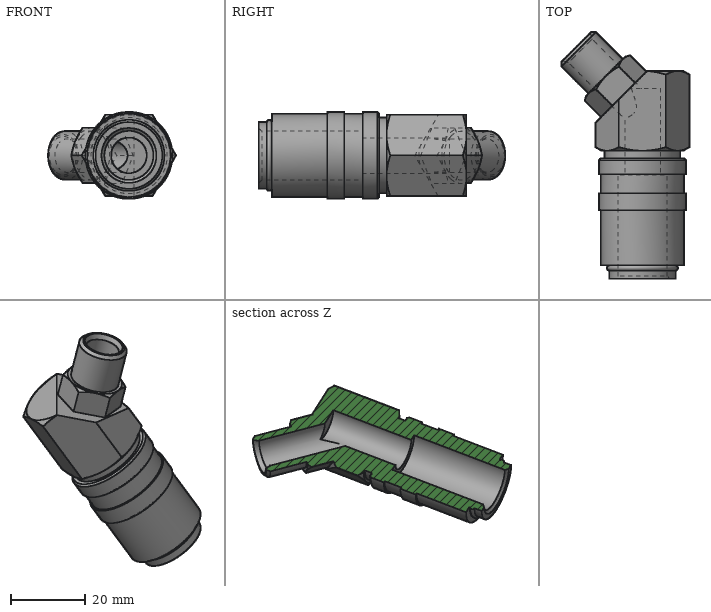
import cadquery as cq
import math


rim_diameter = 18.0
bead_diameter = 19.2
bead_thickness = 1.4
sleeve_diameter = 22.5
ring_diameter = 23.5
neck_diameter = 20.5
sleeve_front = 3.6
front_ring_start = 18.5
front_ring_end = 23.1
rear_ring_start = 28.1
rear_ring_end = 32.5
ring_chamfer = 0.5

socket_diameter = 13.2
socket_depth = 28.0
mouth_chamfer = 0.8
passage_diameter = 9.6
passage_end = 51.4

body_across_flats = 22.0
body_start = 34.5
body_end = 56.0

nipple_origin_y = 44.68
nipple_angle = 45.0
body_face_offset = 7.1
nipple_hex_across_flats = 15.0
nipple_hex_end = 14.0
thread_diameter = 13.16
thread_chamfer = 0.88
nipple_length = 25.16
nipple_bore_diameter = 9.0
nipple_mouth_diameter = 10.4
nipple_mouth_depth = 1.4

hex_sides = 6
hex_chamfer_angle = 30.0

coupling_plane = cq.Plane(origin=(0, 0, 0), xDir=(1, 0, 0), normal=(0, 1, 0))
nipple_direction = (-math.sin(math.radians(nipple_angle)), math.cos(math.radians(nipple_angle)), 0)
nipple_plane = cq.Plane(
    origin=(0, nipple_origin_y, 0),
    xDir=(nipple_direction[1], -nipple_direction[0], 0),
    normal=nipple_direction,
)


def cylinder(plane, diameter, start, end):
    """Cylinder on the plane's axis, between two distances along it."""
    return cq.Workplane(plane).workplane(offset=start).circle(diameter / 2).extrude(end - start)


def cone(plane, start_diameter, end_diameter, start, end):
    """Cone frustum on the plane's axis, between two distances along it."""
    return (
        cq.Workplane(plane)
        .workplane(offset=start)
        .circle(start_diameter / 2)
        .workplane(offset=end - start)
        .circle(end_diameter / 2)
        .loft(ruled=True)
    )


def hexagon(plane, across_flats, start, end, chamfer_start):
    """Hexagonal prism with conical corner chamfers at its end and, if asked, at its start."""
    across_corners = across_flats / math.cos(math.pi / hex_sides)
    drop = (across_corners - across_flats) / 2 * math.tan(math.radians(hex_chamfer_angle))
    blank = cq.Workplane(plane).workplane(offset=start).polygon(hex_sides, across_corners)
    prism = blank.extrude(end - start)
    envelope = cone(plane, across_corners, across_flats, end - drop, end)
    if chamfer_start:
        envelope = envelope.union(cone(plane, across_flats, across_corners, start, start + drop))
        envelope = envelope.union(cylinder(plane, across_corners, start + drop, end - drop))
    else:
        envelope = envelope.union(cylinder(plane, across_corners, start, end - drop))
    return prism.intersect(envelope)


def coupling_sleeve():
    """Stepped sleeve with two raised rings and a neck that reaches the body hexagon."""
    sleeve = cylinder(coupling_plane, rim_diameter, 0, sleeve_front)
    sleeve = sleeve.union(cylinder(coupling_plane, sleeve_diameter, sleeve_front, rear_ring_start))
    sleeve = sleeve.union(cylinder(coupling_plane, ring_diameter, front_ring_start, front_ring_end))
    rear_ring = cylinder(coupling_plane, ring_diameter, rear_ring_start, rear_ring_end)
    sleeve = sleeve.union(rear_ring.faces(">Y").edges().chamfer(ring_chamfer))
    return sleeve.union(cylinder(coupling_plane, neck_diameter, rear_ring_end, body_start))


def retaining_bead():
    """Round bead on the rim, against the front of the sleeve."""
    bead_radius = bead_thickness / 2
    centre_x = bead_diameter / 2 - bead_radius
    centre_y = sleeve_front - bead_radius
    return (
        cq.Workplane("XY")
        .center(centre_x, centre_y)
        .circle(bead_radius)
        .revolve(360, (-centre_x, 0, 0), (-centre_x, 1, 0))
    )


def body():
    """Hexagonal body with its corner cut square to the nipple."""
    block = hexagon(coupling_plane, body_across_flats, body_start, body_end, True)
    cut_size = 2 * body_end
    corner_cut = cq.Workplane(nipple_plane).workplane(offset=body_face_offset).rect(cut_size, cut_size)
    return block.cut(corner_cut.extrude(cut_size))


def nipple():
    """Hexagon and chamfered threaded end standing on the slanted body face."""
    nut = hexagon(nipple_plane, nipple_hex_across_flats, body_face_offset, nipple_hex_end, False)
    chamfer_base = nipple_length - thread_chamfer
    tip_diameter = thread_diameter - 2 * thread_chamfer
    thread = cylinder(nipple_plane, thread_diameter, nipple_hex_end, chamfer_base)
    tip = cone(nipple_plane, thread_diameter, tip_diameter, chamfer_base, nipple_length)
    return nut.union(thread).union(tip)


def flow_path():
    """Socket, straight passage and slanted nipple bore, joined inside the body."""
    mouth_diameter = socket_diameter + 2 * mouth_chamfer
    path = cone(coupling_plane, mouth_diameter, socket_diameter, 0, mouth_chamfer)
    path = path.union(cylinder(coupling_plane, socket_diameter, mouth_chamfer, socket_depth))
    path = path.union(cylinder(coupling_plane, passage_diameter, socket_depth, passage_end))
    nipple_mouth_start = nipple_length - nipple_mouth_depth
    path = path.union(cylinder(nipple_plane, nipple_bore_diameter, 0, nipple_mouth_start))
    return path.union(
        cone(nipple_plane, nipple_bore_diameter, nipple_mouth_diameter, nipple_mouth_start, nipple_length)
    )


result = coupling_sleeve().union(retaining_bead()).union(body()).union(nipple()).cut(flow_path())